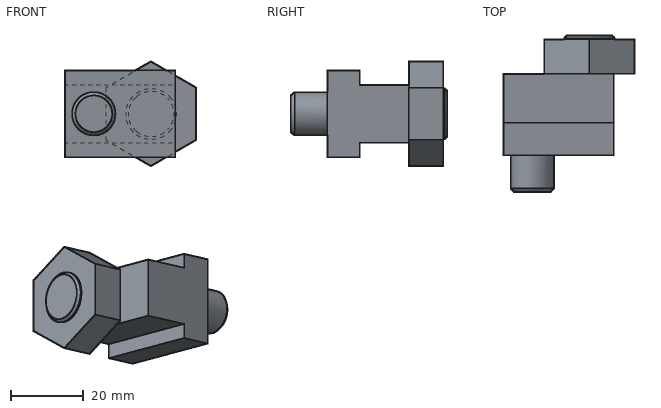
import cadquery as cq
import math

total_length = 43.25

block_width = 30.55
flange_height = 24.0
flange_depth = 9.0
web_height = 16.0
web_depth = 13.5

pin_diameter = 12.0
pin_tip_diameter = 10.1
pin_tip_depth = 1.1
pin_length = 10.1
pin_x = 8.0

hex_across_corners = 28.9
hex_depth = 9.5
hex_x = 23.75
boss_diameter = 14.0
boss_chamfer = 0.75

web_back = flange_depth + web_depth
hex_back = web_back + hex_depth
boss_depth = total_length - pin_length - hex_back


def plane_facing_back(x, y):
    """Plane at the given X and Y, at mid height, with its normal along +Y."""
    return cq.Workplane(cq.Plane(origin=(x, y, 0), xDir=(1, 0, 0), normal=(0, 1, 0)))


def block_slab(height, y_start, depth):
    return plane_facing_back(block_width / 2, y_start).rect(block_width, height).extrude(depth)


def make_pin():
    tip_radius = pin_tip_diameter / 2
    radius = pin_diameter / 2
    half_profile = (
        cq.Workplane("XY")
        .moveTo(pin_x, 0)
        .lineTo(pin_x + radius, 0)
        .lineTo(pin_x + radius, pin_tip_depth - pin_length)
        .lineTo(pin_x + tip_radius, -pin_length)
        .lineTo(pin_x, -pin_length)
        .close()
    )
    return half_profile.revolve(360, (pin_x, 0, 0), (pin_x, 1, 0))


def make_hex_head():
    """Hexagonal prism with two corners pointing up and down."""
    corner_radius = hex_across_corners / 2
    corners = []
    for index in range(6):
        angle = math.radians(90 + 60 * index)
        corners.append((corner_radius * math.cos(angle), corner_radius * math.sin(angle)))
    return plane_facing_back(hex_x, web_back).polyline(corners).close().extrude(hex_depth)


def make_boss():
    boss = plane_facing_back(hex_x, hex_back).circle(boss_diameter / 2).extrude(boss_depth)
    return boss.faces(">Y").chamfer(boss_chamfer)


flange = block_slab(flange_height, 0, flange_depth)
web = block_slab(web_height, flange_depth, web_depth)
result = flange.union(web).union(make_pin()).union(make_hex_head()).union(make_boss())